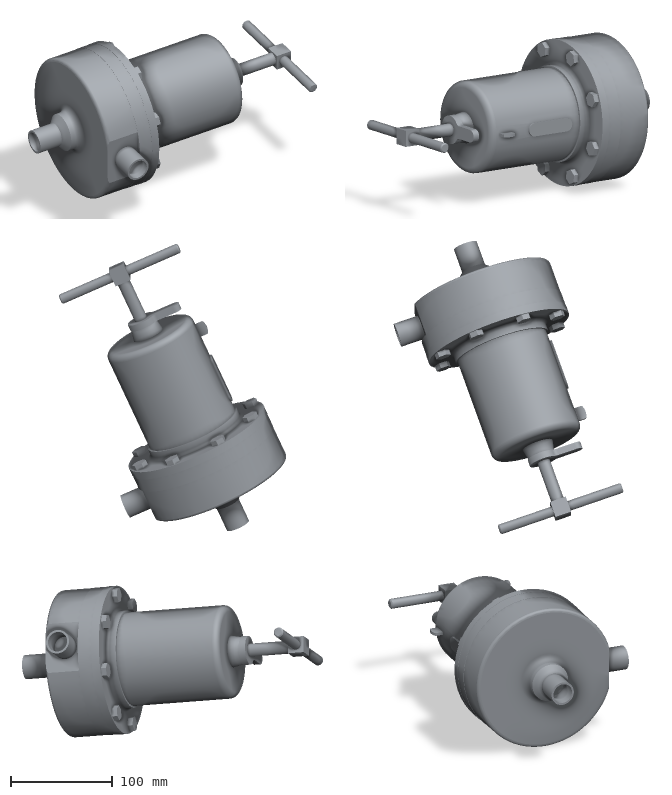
import cadquery as cq
import math


PIPE_RADIUS = 12.0
PIPE_BORE_RADIUS = 10.0
PIPE_LENGTH = 21.5

INLET_CONE_START = 24.5
INLET_HUB_START = 31.0
INLET_HUB_RADIUS = 19.0
INLET_FILLET = 6.5

HOUSING_START = 43.0
HOUSING_RADIUS = 72.5
HOUSING_EDGE_FILLET = 3.2
OUTLET_FLAT_X = 68.0
OUTLET_END_X = 92.8
OUTLET_Y = 63.2

RING_START = 77.5
RING_RADIUS = 72.8
FLANGE_START = 91.3
FLANGE_RADIUS = 73.0
FLANGE_FACE = 99.5

COLLAR_RADIUS = 48.0
COLLAR_FILLET = 3.2
COLLAR_END = 108.7
BONNET_RADIUS = 46.0
BONNET_END = 213.7
BONNET_EDGE_FILLET = 6.0
NECK_BASE_RADIUS = 15.7
NECK_TOP_RADIUS = 13.3
NECK_END = 224.7

BOLT_COUNT = 8
BOLT_CIRCLE_RADIUS = 64.5
BOLT_ACROSS_FLATS = 13.0
BOLT_HEAD_HEIGHT = 5.2

LEVER_END = 231.3
LEVER_HUB_RADIUS = 14.2
LEVER_REACH = 40.5
LEVER_WIDTH = 12.8
LEVER_ROOT_FILLET = 5.2

OVERALL_LENGTH = 290.0
SPINDLE_RADIUS = 6.5
HANDLE_BLOCK_SIZE = 16.2
HANDLE_LENGTH = 127.8
HANDLE_RADIUS = 5.0
HANDLE_CHAMFER = 1.2

TAB_REACH = 55.7
TAB_CROWN = 1.7
TAB_CENTER_Y = 197.5
TAB_WIDTH = 13.3
TAB_THICKNESS = 3.0
PLATE_REACH = 47.8
PLATE_CENTER_Y = 143.8
PLATE_LENGTH = 51.3
PLATE_WIDTH = 13.3

ARC_MIDPOINT_INSET = 1 - math.sqrt(0.5)


def cylinder_y(radius, start, end):
    """Cylinder on the main axis between two stations."""
    return cq.Workplane("XZ", origin=(0, start, 0)).circle(radius).extrude(start - end)


def cylinder_x(radius, y, start, end):
    """Cylinder parallel to X at station y."""
    return cq.Workplane("YZ", origin=(start, y, 0)).circle(radius).extrude(end - start)


def inlet_boss():
    """Revolved pipe, cone and hub, flaring out to meet the housing face."""
    arc_offset = INLET_FILLET * ARC_MIDPOINT_INSET
    profile = (
        cq.Workplane("XY")
        .lineTo(PIPE_RADIUS, 0)
        .lineTo(PIPE_RADIUS, INLET_CONE_START)
        .lineTo(INLET_HUB_RADIUS, INLET_HUB_START)
        .lineTo(INLET_HUB_RADIUS, HOUSING_START - INLET_FILLET)
        .threePointArc(
            (INLET_HUB_RADIUS + arc_offset, HOUSING_START - arc_offset),
            (INLET_HUB_RADIUS + INLET_FILLET, HOUSING_START),
        )
        .lineTo(0, HOUSING_START)
        .close()
    )
    return profile.revolve(360, (0, 0, 0), (0, 1, 0))


def lower_housing():
    """Round housing with a flat on +X for the outlet pipe."""
    housing = cylinder_y(HOUSING_RADIUS, HOUSING_START, RING_START)
    housing = housing.faces("<Y").edges().fillet(HOUSING_EDGE_FILLET)
    flat_cutter = cq.Workplane("XY").box(
        HOUSING_RADIUS, OVERALL_LENGTH, 2 * HOUSING_RADIUS, centered=(False, True, True)
    )
    return housing.cut(flat_cutter.translate((OUTLET_FLAT_X, 0, 0)))


def bonnet():
    """Revolved collar, bonnet barrel and tapered neck."""
    arc_offset = COLLAR_FILLET * ARC_MIDPOINT_INSET
    edge_offset = BONNET_EDGE_FILLET * ARC_MIDPOINT_INSET
    profile = (
        cq.Workplane("XY")
        .moveTo(0, FLANGE_FACE)
        .lineTo(COLLAR_RADIUS + COLLAR_FILLET, FLANGE_FACE)
        .threePointArc(
            (COLLAR_RADIUS + arc_offset, FLANGE_FACE + arc_offset),
            (COLLAR_RADIUS, FLANGE_FACE + COLLAR_FILLET),
        )
        .lineTo(COLLAR_RADIUS, COLLAR_END)
        .lineTo(BONNET_RADIUS, COLLAR_END)
        .lineTo(BONNET_RADIUS, BONNET_END - BONNET_EDGE_FILLET)
        .threePointArc(
            (BONNET_RADIUS - edge_offset, BONNET_END - edge_offset),
            (BONNET_RADIUS - BONNET_EDGE_FILLET, BONNET_END),
        )
        .lineTo(NECK_BASE_RADIUS, BONNET_END)
        .lineTo(NECK_TOP_RADIUS, NECK_END)
        .lineTo(0, NECK_END)
        .close()
    )
    return profile.revolve(360, (0, 0, 0), (0, 1, 0))


def flange_bolts():
    """Hexagon heads, each with one flat facing the main axis."""
    across_corners = BOLT_ACROSS_FLATS / math.cos(math.pi / 6)
    step = 360 / BOLT_COUNT
    head = (
        cq.Workplane("XZ", origin=(0, FLANGE_FACE, 0))
        .center(0, BOLT_CIRCLE_RADIUS)
        .polygon(6, across_corners)
        .extrude(-BOLT_HEAD_HEIGHT)
    )
    heads = cq.Workplane("XY")
    for index in range(BOLT_COUNT):
        heads = heads.add(head.rotate((0, 0, 0), (0, 1, 0), (index + 0.5) * step))
    return heads.combine()


def locking_lever():
    """Round hub with a full-round arm toward -X, blended into the hub."""
    thickness = LEVER_END - NECK_END
    tip_radius = LEVER_WIDTH / 2
    arm_length = LEVER_REACH - tip_radius
    hub = cylinder_y(LEVER_HUB_RADIUS, NECK_END, LEVER_END)
    arm = (
        cq.Workplane("XY", origin=(-arm_length / 2, NECK_END + thickness / 2, 0))
        .box(arm_length, thickness, LEVER_WIDTH)
    )
    tip = cylinder_y(tip_radius, NECK_END, LEVER_END).translate((-arm_length, 0, 0))
    root_edges = cq.selectors.BoxSelector(
        (-LEVER_HUB_RADIUS, NECK_END, -LEVER_WIDTH), (0, LEVER_END, LEVER_WIDTH)
    )
    lever = hub.union(arm).union(tip)
    return lever.edges("|Y").edges(root_edges).fillet(LEVER_ROOT_FILLET)


def tee_handle():
    """Spindle, square block and cross bar with chamfered ends."""
    block_start = OVERALL_LENGTH - HANDLE_BLOCK_SIZE
    handle_y = OVERALL_LENGTH - HANDLE_BLOCK_SIZE / 2
    spindle = cylinder_y(SPINDLE_RADIUS, NECK_END, block_start)
    block = cq.Workplane("XY", origin=(0, handle_y, 0)).box(
        HANDLE_BLOCK_SIZE, HANDLE_BLOCK_SIZE, HANDLE_BLOCK_SIZE
    )
    handle = cylinder_x(HANDLE_RADIUS, handle_y, -HANDLE_LENGTH / 2, HANDLE_LENGTH / 2)
    handle = handle.faces("<X or >X").chamfer(HANDLE_CHAMFER)
    return spindle.union(block).union(handle)


def bonnet_tab():
    """Flat tab with a crowned outer end."""
    half_width = TAB_WIDTH / 2
    outline = (
        cq.Workplane("XY", origin=(0, TAB_CENTER_Y, -TAB_THICKNESS / 2))
        .moveTo(0, -half_width)
        .lineTo(TAB_CROWN - TAB_REACH, -half_width)
        .threePointArc((-TAB_REACH, 0), (TAB_CROWN - TAB_REACH, half_width))
        .lineTo(0, half_width)
        .close()
    )
    return outline.extrude(TAB_THICKNESS)


def name_plate():
    """Raised plate with full-round ends along the bonnet."""
    outline = cq.Workplane("YZ", origin=(0, PLATE_CENTER_Y, 0)).slot2D(PLATE_LENGTH, PLATE_WIDTH)
    return outline.extrude(-PLATE_REACH)


result = (
    lower_housing()
    .union(inlet_boss())
    .union(cylinder_x(PIPE_RADIUS, OUTLET_Y, 0, OUTLET_END_X))
    .union(cylinder_y(RING_RADIUS, RING_START, FLANGE_START))
    .union(cylinder_y(FLANGE_RADIUS, FLANGE_START, FLANGE_FACE))
    .union(bonnet())
    .union(flange_bolts())
    .union(locking_lever())
    .union(tee_handle())
    .union(bonnet_tab())
    .union(name_plate())
    .cut(cylinder_y(PIPE_BORE_RADIUS, 0, PIPE_LENGTH))
    .cut(cylinder_x(PIPE_BORE_RADIUS, OUTLET_Y, OUTLET_END_X - PIPE_LENGTH, OUTLET_END_X))
)